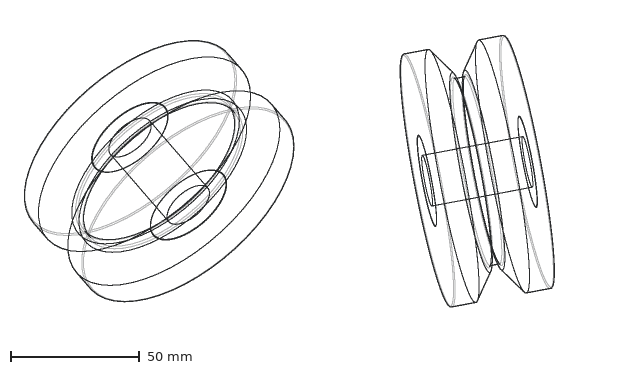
import cadquery as cq

wheel_diameter = 100.0
wheel_width = 40.0
rim_fillet = 0.5
bore_diameter = 20.0

groove_mouth_width = 20.0
slot_width = 5.0
slot_top_radius = 39.5
slot_floor_radius = 37.0
slot_corner_fillet = 0.7

recess_diameter = 36.0
recess_floor_diameter = 35.5
recess_depth = 0.1

wheel_radius = wheel_diameter / 2
half_width = wheel_width / 2


def make_blank():
    """Disc with rounded rims, centred on the origin, with its axis along X."""
    disc = cq.Workplane("YZ").circle(wheel_radius).extrude(half_width, both=True)
    return disc.edges().fillet(rim_fillet)


def make_groove():
    """Ring that cuts the V groove and its round-cornered relief slot."""
    half_mouth = groove_mouth_width / 2
    half_slot = slot_width / 2
    half_floor = half_slot - slot_corner_fillet
    fillet_top = slot_floor_radius + slot_corner_fillet
    profile = (
        cq.Workplane("XY")
        .moveTo(-half_mouth, wheel_radius)
        .lineTo(-half_slot, slot_top_radius)
        .lineTo(-half_slot, fillet_top)
        .radiusArc((-half_floor, slot_floor_radius), -slot_corner_fillet)
        .lineTo(half_floor, slot_floor_radius)
        .radiusArc((half_slot, fillet_top), -slot_corner_fillet)
        .lineTo(half_slot, slot_top_radius)
        .lineTo(half_mouth, wheel_radius)
        .close()
    )
    return profile.revolve(360, (0, 0, 0), (1, 0, 0))


def make_hub_recess(side):
    """Tapered disc that cuts the hub recess; side is -1 or +1 along X."""
    face_x = side * half_width
    floor_x = face_x - side * recess_depth
    profile = (
        cq.Workplane("XY")
        .moveTo(face_x, 0)
        .lineTo(face_x, recess_diameter / 2)
        .lineTo(floor_x, recess_floor_diameter / 2)
        .lineTo(floor_x, 0)
        .close()
    )
    return profile.revolve(360, (0, 0, 0), (1, 0, 0))


bore = cq.Workplane("YZ").circle(bore_diameter / 2).extrude(half_width, both=True)

result = make_blank().cut(make_groove()).cut(bore)
for side in (-1, 1):
    result = result.cut(make_hub_recess(side))